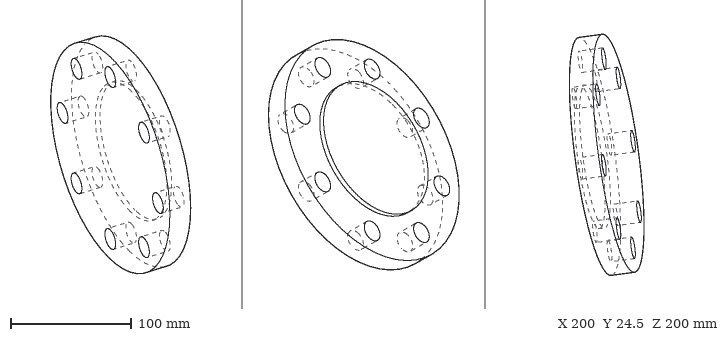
import cadquery as cq

flange_diameter = 200.0
total_thickness = 24.5
raised_face_diameter = 120.0
raised_face_height = 4.5
plate_thickness = total_thickness - raised_face_height

bolt_circle_diameter = 160.0
bolt_hole_diameter = 18.0
bolt_hole_count = 8


def disc(diameter, y_start, thickness):
    """Solid disc about the Y axis, running from y_start toward +Y."""
    plane = cq.Workplane("XZ", origin=(0, y_start, 0))
    return plane.circle(diameter / 2).extrude(-thickness)


def bolt_holes():
    """Cylinders for the through holes, the first one on the +X axis."""
    return (
        cq.Workplane("XZ")
        .polarArray(bolt_circle_diameter / 2, 0, 360, bolt_hole_count)
        .circle(bolt_hole_diameter / 2)
        .extrude(-plate_thickness)
    )


plate = disc(flange_diameter, 0, plate_thickness)
raised_face = disc(raised_face_diameter, plate_thickness, raised_face_height)

result = plate.union(raised_face).cut(bolt_holes())